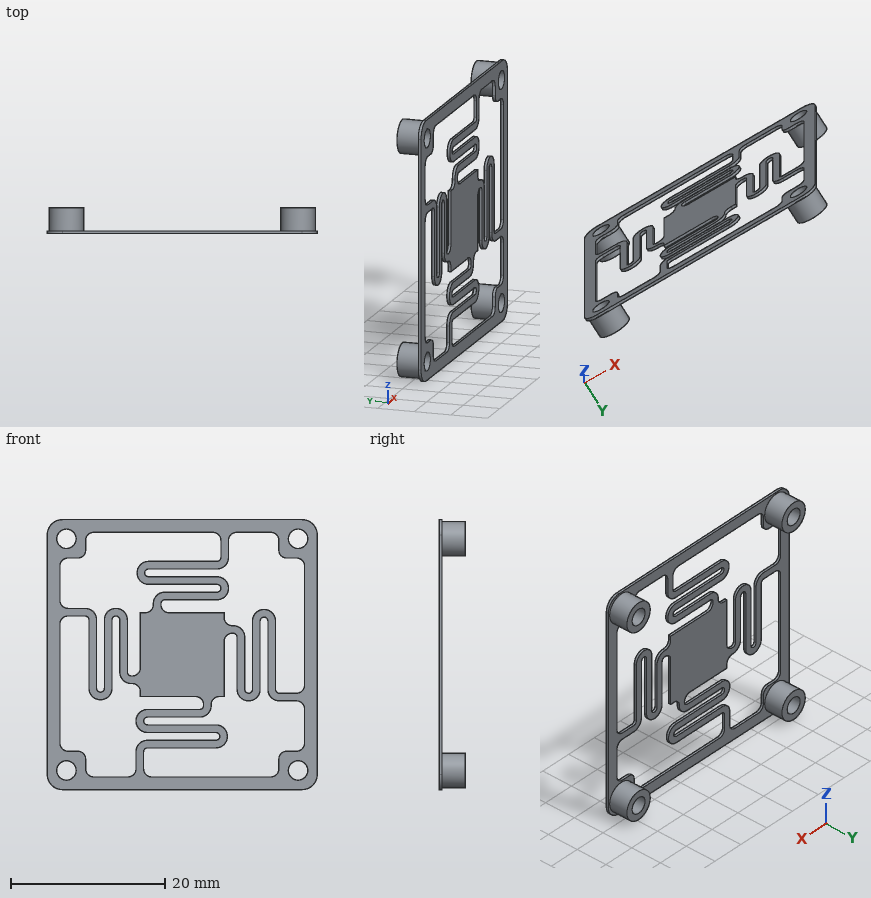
import cadquery as cq
import math

side = 35.0
plate_thickness = 0.4
corner_radius = 2.0
rail_width = 1.68
pad_size = 5.0
fillet_radius = 1.0

hole_pitch = 30.0
hole_diameter = 2.5
standoff_diameter = 4.5
standoff_length = 3.0

platform_size = 10.9
beam_width = 1.0
run_pitch = 2.0
inner_run = 7.6
frame_end_height = 5.5
lower_turn_depth = 5.35
platform_end_depth = 3.25
arm_count = 4

opening_half = side / 2 - rail_width
platform_half = platform_size / 2
bend_radius = run_pitch / 2
embed = rail_width / 2


def make_frame():
    """Rounded square frame whose cross-shaped opening leaves a pad in each corner."""
    outer = cq.Workplane("XZ").rect(side, side).extrude(-plate_thickness)
    outer = outer.edges("|Y").fillet(corner_radius)
    opening_size = 2 * opening_half
    clear_size = side - 2 * pad_size
    opening = (
        cq.Workplane("XZ").rect(opening_size, clear_size).extrude(-plate_thickness)
        .union(cq.Workplane("XZ").rect(clear_size, opening_size).extrude(-plate_thickness))
        .edges("|Y").fillet(fillet_radius)
    )
    return outer.cut(opening)


def make_left_arm():
    """Serpentine beam from the left rail to the left edge of the platform."""
    r = bend_radius
    corner = r / math.sqrt(2)
    run_in = -inner_run
    run_mid = run_in - run_pitch
    run_out = run_mid - run_pitch
    upper = frame_end_height - r
    lower = r - lower_turn_depth
    last = r - platform_end_depth
    start = -opening_half - embed
    path = (
        cq.Workplane("XZ").moveTo(start, frame_end_height)
        .lineTo(run_out - r, frame_end_height)
        .threePointArc((run_out - r + corner, upper + corner), (run_out, upper))
        .lineTo(run_out, lower)
        .threePointArc((run_out + r, lower - r), (run_mid, lower))
        .lineTo(run_mid, upper)
        .threePointArc((run_mid + r, upper + r), (run_in, upper))
        .lineTo(run_in, last)
        .threePointArc((run_in + r - corner, last - corner), (run_in + r, last - r))
        .lineTo(embed - platform_half, last - r)
    )
    section = cq.Workplane("YZ", origin=(start, plate_thickness / 2, frame_end_height))
    return section.rect(plate_thickness, beam_width).sweep(path)


def turned(shape, index):
    """Turn a shape about the Y axis to the place of the arm with this index."""
    return shape.rotate((0, 0, 0), (0, 1, 0), index * 360 / arm_count)


def fillet_arm_roots(plate):
    """Round both sides of every arm where it meets the frame and the platform."""
    roots = [(-opening_half, frame_end_height), (-platform_half, -platform_end_depth)]
    for index in range(arm_count):
        for x, z in roots:
            for offset in (-beam_width / 2, beam_width / 2):
                corner_point = cq.Vertex.makeVertex(x, plate_thickness / 2, z + offset)
                spot = turned(cq.Workplane(corner_point), index).val().toTuple()
                nearest = cq.selectors.NearestToPointSelector(spot)
                plate = plate.edges("|Y").edges(nearest).fillet(fillet_radius)
    return plate


def at_hole_centres(workplane):
    return workplane.rect(hole_pitch, hole_pitch, forConstruction=True).vertices()


plate = make_frame()
plate = plate.union(cq.Workplane("XZ").rect(platform_size, platform_size).extrude(-plate_thickness))
left_arm = make_left_arm()
for arm_index in range(arm_count):
    plate = plate.union(turned(left_arm, arm_index))
plate = fillet_arm_roots(plate)

total_depth = plate_thickness + standoff_length
standoffs = at_hole_centres(cq.Workplane("XZ")).circle(standoff_diameter / 2).extrude(-total_depth)
holes = at_hole_centres(cq.Workplane("XZ")).circle(hole_diameter / 2).extrude(-total_depth)
result = plate.union(standoffs).cut(holes)